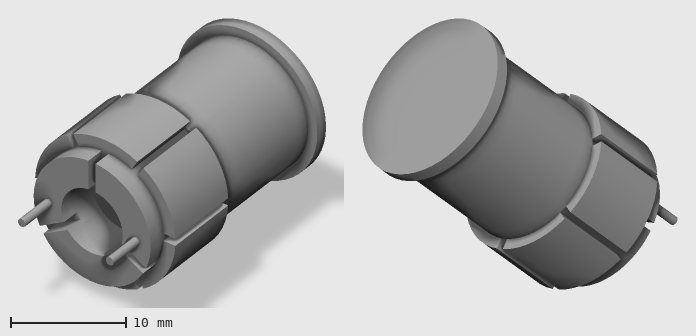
import cadquery as cq

total_length = 27.43
pin_length = 3.8
foot_length = 1.9
collar_length = 7.63
flange_thickness = 1.25
bore_depth = 4.5

rim_diameter = 15.25
body_diameter = 13.25
foot_diameter = 12.7
bore_diameter = 6.65
pin_diameter = 0.82

slot_width = 0.77
collar_slot_count = 6
offset_slot_shift = 0.45
foot_slots = ((-90, 0), (30, offset_slot_shift), (150, 0))
pin_spacing = 9.55

pin_tip = -total_length / 2
foot_end = pin_tip + pin_length
collar_start = foot_end + foot_length
collar_end = collar_start + collar_length
flange_end = total_length / 2
flange_start = flange_end - flange_thickness


def cylinder(diameter, start, end, x=0):
    """Solid cylinder parallel to Y, between two stations."""
    plane = cq.Workplane("XZ", origin=(x, start, 0))
    return plane.circle(diameter / 2).extrude(start - end)


def slot_cutter(angle, start, end, offset=0):
    """Bar from the axis out past the rim, turned about Y by angle (0 is +X, 90 is -Z).

    The offset moves the bar sideways, off the radial line.
    """
    bar = cq.Workplane("XY").box(rim_diameter, end - start, slot_width, centered=(False, False, True))
    return bar.translate((0, start, offset)).rotate((0, 0, 0), (0, 1, 0), angle)


body = cylinder(body_diameter, collar_end, flange_start)
flange = cylinder(rim_diameter, flange_start, flange_end)

core = cylinder(foot_diameter, foot_end, collar_end)
collar = cylinder(rim_diameter, collar_start, collar_end)
for index in range(collar_slot_count):
    collar = collar.cut(slot_cutter(index * 360 / collar_slot_count, collar_start, collar_end))

shell = body.union(flange).union(core).union(collar)

for angle, offset in foot_slots:
    shell = shell.cut(slot_cutter(angle, foot_end, collar_start, offset))

shell = shell.cut(cylinder(bore_diameter, foot_end, foot_end + bore_depth))

result = shell
for side in (-1, 1):
    pin = cylinder(pin_diameter, pin_tip, collar_start, side * pin_spacing / 2)
    result = result.union(pin)